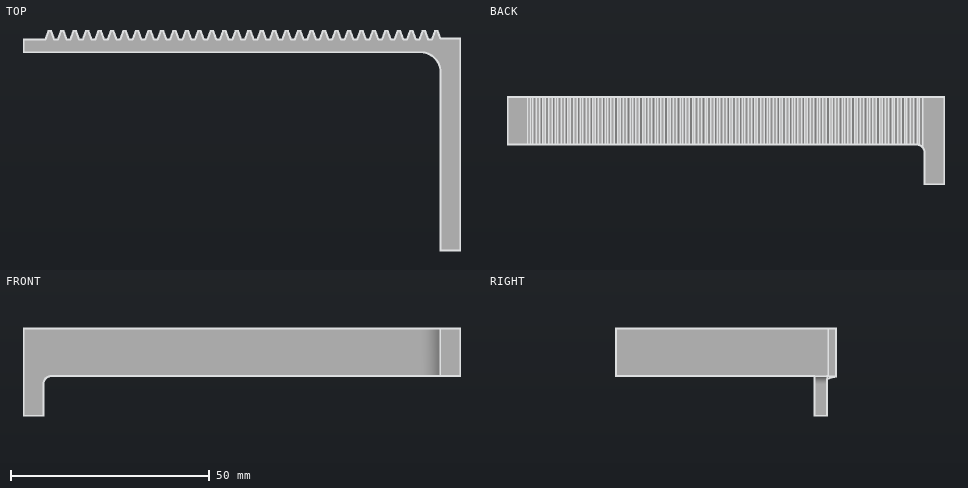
import cadquery as cq
import math

module = 1.0
pressure_angle = math.radians(20)
tooth_count = 32
pitch = math.pi * module
addendum = module
dedendum = 1.25 * module
first_tooth_x = 6.57
backlash = 0.23

length = 110.0
bar_height = 12.0
bar_thickness = 3.22
leg_reach = 50.0
leg_thickness = 5.0
corner_rise = 0.28
corner_fillet = 5.0

tab_width = 5.0
tab_drop = 10.0
tab_fillet = 2.0

root_y = bar_thickness
pitch_line_y = root_y + dedendum
tip_y = pitch_line_y + addendum
corner_y = root_y + corner_rise
last_tooth_x = first_tooth_x + (tooth_count - 1) * pitch


def flank_half_width(y):
    """Half of the tooth thickness at height y on the straight flank."""
    return (pitch / 2 - backlash) / 2 + (pitch_line_y - y) * math.tan(pressure_angle)


def make_bar_and_leg():
    """L-shaped bar and leg, as deep as the tab, with a rounded inner corner."""
    leg_inner_x = length - leg_thickness
    return (
        cq.Workplane("XY", origin=(0, 0, -tab_drop))
        .moveTo(0, 0)
        .lineTo(leg_inner_x - corner_fillet, 0)
        .radiusArc((leg_inner_x, -corner_fillet), corner_fillet)
        .lineTo(leg_inner_x, -leg_reach)
        .lineTo(length, -leg_reach)
        .lineTo(length, corner_y)
        .lineTo(last_tooth_x, corner_y)
        .lineTo(last_tooth_x, root_y)
        .lineTo(0, root_y)
        .close()
        .extrude(bar_height + tab_drop)
    )


def make_tooth(center_x):
    """One trapezoidal rack tooth, rooted in the bar and as deep as the tab."""
    root_half = flank_half_width(root_y)
    tip_half = flank_half_width(tip_y)
    return (
        cq.Workplane("XY", origin=(center_x, 0, -tab_drop))
        .moveTo(-root_half, 0)
        .lineTo(-root_half, root_y)
        .lineTo(-tip_half, tip_y)
        .lineTo(tip_half, tip_y)
        .lineTo(root_half, root_y)
        .lineTo(root_half, 0)
        .close()
        .extrude(bar_height + tab_drop)
    )


def make_side_envelope():
    """Side outline of bar and filleted tab, spanning the full depth in Y."""
    return (
        cq.Workplane("XZ", origin=(0, tip_y, 0))
        .moveTo(0, bar_height)
        .lineTo(0, -tab_drop)
        .lineTo(tab_width, -tab_drop)
        .lineTo(tab_width, -tab_fillet)
        .radiusArc((tab_width + tab_fillet, 0), tab_fillet)
        .lineTo(length, 0)
        .lineTo(length, bar_height)
        .close()
        .extrude(tip_y + leg_reach)
    )


rack = make_bar_and_leg()
for index in range(tooth_count):
    rack = rack.union(make_tooth(first_tooth_x + index * pitch))

result = rack.intersect(make_side_envelope())